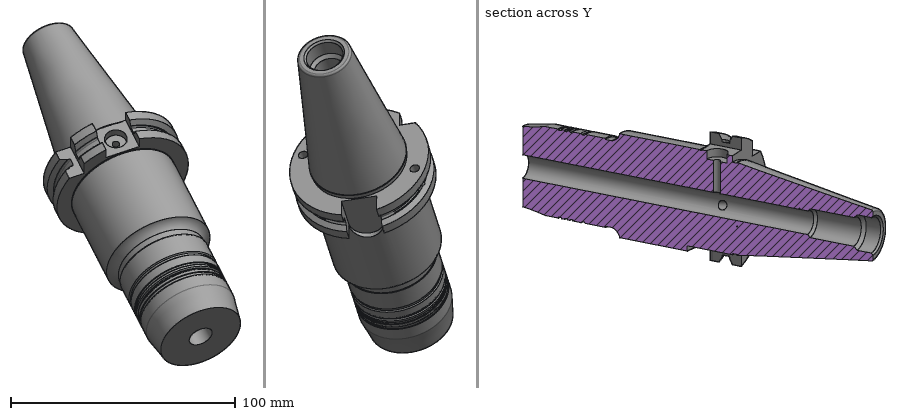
import cadquery as cq
import math

LENGTH = 178.4

TAPER_SLOPE = 3.5 / 24
GAUGE_RADIUS = 22.3
TAPER_END = 69.2
TAPER_EDGE_FILLET = 1.0
NECK_RADIUS = 22.0

FLANGE_START = 71.5
FLANGE_WIDTH = 15.9
FLANGE_RADIUS = 31.8
GROOVE_FLOOR_RADIUS = 28.2
GROOVE_FLOOR_WIDTH = 4.0
GROOVE_STRAIGHT_DEPTH = 1.0
GROOVE_FLOOR_FILLET = 0.5
GROOVE_HALF_ANGLE = math.radians(30)

BODY_RADIUS = 25.0
UNDERCUT_WIDTH = 0.5
UNDERCUT_DEPTH = 0.4
BODY_END = 129.0
STEP_SAG = 0.7
RELIEF_START = 132.7
RELIEF_END = 136.1
RELIEF_RADIUS = 20.9

NOSE_RADIUS = 21.4
RING_DEPTH = 0.5
NARROW_GROOVE = (146.5, 148.6)
RIDGED_GROOVE = (152.9, 157.0)
PLAIN_GROOVE = (158.6, 160.2)
RIDGE_BASE_WIDTH = 2.1
RIDGE_TOP_WIDTH = 1.0
NOSE_TAPER_START = 166.6
NOSE_TIP_RADIUS = 19.3

MOUTH_RADIUS = 9.3
COUNTERBORE_RADIUS = 8.4
COUNTERBORE_END = 8.2
THREAD_RADIUS = 6.8
THREAD_END = 32.1
BORE_RADIUS = 5.5

SLOT_WIDTH = 16.0
TOP_SLOT_FLOOR = 25.0
BOTTOM_SLOT_FLOOR = 22.5
BOTTOM_SLOT_END = 94.5
NOTCH_CORNER = 18.5
POCKET_RADIUS = 5.0
POCKET_DEPTH = 4.0
POCKET_DRILL_RADIUS = 1.6

COOLANT_RADIUS = 2.1
COOLANT_PITCH_RADIUS = 27.1
COOLANT_ANGLES = (20, 200)

FLANGE_END = FLANGE_START + FLANGE_WIDTH
FLANGE_MIDDLE = FLANGE_START + FLANGE_WIDTH / 2


def revolve_about_axis(outline):
    """Turn a closed outline of (X, radius) about the X axis."""
    return outline.close().revolve(360, (0, 0, 0), (1, 0, 0))


def ring(start, end, inner_radius, outer_radius):
    """Tube along the X axis."""
    tube = cq.Workplane("YZ", origin=(start, 0, 0)).circle(outer_radius).circle(inner_radius)
    return tube.extrude(end - start)


def box(start, end, y_range, z_range):
    """Block between the given limits along X, Y and Z."""
    size = (end - start, y_range[1] - y_range[0], z_range[1] - z_range[0])
    return cq.Workplane("XY").box(*size, centered=False).translate((start, y_range[0], z_range[0]))


def turned_blank():
    """Taper, neck, flange, body and nose without grooves."""
    small_radius = GAUGE_RADIUS - TAPER_SLOPE * TAPER_END
    outline = (
        cq.Workplane("XY")
        .moveTo(0, 0)
        .lineTo(0, small_radius)
        .lineTo(TAPER_END, GAUGE_RADIUS)
        .lineTo(TAPER_END, NECK_RADIUS)
        .lineTo(FLANGE_START, NECK_RADIUS)
        .lineTo(FLANGE_START, FLANGE_RADIUS)
        .lineTo(FLANGE_END, FLANGE_RADIUS)
        .lineTo(FLANGE_END, BODY_RADIUS - UNDERCUT_DEPTH)
        .lineTo(FLANGE_END + UNDERCUT_WIDTH, BODY_RADIUS - UNDERCUT_DEPTH)
        .lineTo(FLANGE_END + UNDERCUT_WIDTH, BODY_RADIUS)
        .lineTo(BODY_END, BODY_RADIUS)
        .sagittaArc((RELIEF_START, RELIEF_RADIUS), -STEP_SAG)
        .lineTo(RELIEF_END, RELIEF_RADIUS)
        .lineTo(RELIEF_END, NOSE_RADIUS)
        .lineTo(NOSE_TAPER_START, NOSE_RADIUS)
        .lineTo(LENGTH, NOSE_TIP_RADIUS)
        .lineTo(LENGTH, 0)
    )
    return revolve_about_axis(outline).faces("<X").edges().fillet(TAPER_EDGE_FILLET)


def flange_groove():
    """Vee groove with a straight-sided, round-cornered floor, around the middle of the flange."""
    vee_bottom_radius = GROOVE_FLOOR_RADIUS + GROOVE_STRAIGHT_DEPTH
    half_floor = GROOVE_FLOOR_WIDTH / 2
    half_mouth = half_floor + (FLANGE_RADIUS - vee_bottom_radius) * math.tan(GROOVE_HALF_ANGLE)
    outline = (
        cq.Workplane("XY")
        .moveTo(FLANGE_MIDDLE - half_floor, GROOVE_FLOOR_RADIUS)
        .lineTo(FLANGE_MIDDLE - half_floor, vee_bottom_radius)
        .lineTo(FLANGE_MIDDLE - half_mouth, FLANGE_RADIUS)
        .lineTo(FLANGE_MIDDLE + half_mouth, FLANGE_RADIUS)
        .lineTo(FLANGE_MIDDLE + half_floor, vee_bottom_radius)
        .lineTo(FLANGE_MIDDLE + half_floor, GROOVE_FLOOR_RADIUS)
    )
    groove = revolve_about_axis(outline)
    floor_edges = cq.selectors.RadiusNthSelector(0)
    return groove.edges(floor_edges).fillet(GROOVE_FLOOR_FILLET)


def trapezoid_ring(middle, inner_width, outer_width):
    """Ring as deep as the nose grooves, with sloping sides."""
    floor_radius = NOSE_RADIUS - RING_DEPTH
    outline = (
        cq.Workplane("XY")
        .moveTo(middle - inner_width / 2, floor_radius)
        .lineTo(middle - outer_width / 2, NOSE_RADIUS)
        .lineTo(middle + outer_width / 2, NOSE_RADIUS)
        .lineTo(middle + inner_width / 2, floor_radius)
    )
    return revolve_about_axis(outline)


def nose_grooves():
    """Narrow sloping groove, wide groove around a ridge, and plain groove."""
    floor_radius = NOSE_RADIUS - RING_DEPTH
    narrow_width = NARROW_GROOVE[1] - NARROW_GROOVE[0]
    narrow = trapezoid_ring(sum(NARROW_GROOVE) / 2, narrow_width - 2 * RING_DEPTH, narrow_width)
    ridge = trapezoid_ring(sum(RIDGED_GROOVE) / 2, RIDGE_BASE_WIDTH, RIDGE_TOP_WIDTH)
    ridged = ring(*RIDGED_GROOVE, floor_radius, NOSE_RADIUS).cut(ridge)
    plain = ring(*PLAIN_GROOVE, floor_radius, NOSE_RADIUS)
    return [narrow, ridged, plain]


def stepped_bore():
    """Counterbore, thread hole and through bore, joined by 45-degree cones."""
    outline = (
        cq.Workplane("XY")
        .moveTo(0, 0)
        .lineTo(0, MOUTH_RADIUS)
        .lineTo(MOUTH_RADIUS - COUNTERBORE_RADIUS, COUNTERBORE_RADIUS)
        .lineTo(COUNTERBORE_END, COUNTERBORE_RADIUS)
        .lineTo(COUNTERBORE_END + COUNTERBORE_RADIUS - THREAD_RADIUS, THREAD_RADIUS)
        .lineTo(THREAD_END, THREAD_RADIUS)
        .lineTo(THREAD_END + THREAD_RADIUS - BORE_RADIUS, BORE_RADIUS)
        .lineTo(LENGTH, BORE_RADIUS)
        .lineTo(LENGTH, 0)
    )
    return revolve_about_axis(outline)


def drive_slots():
    """Slot across the top of the flange and a deeper round-ended one below."""
    half_width = SLOT_WIDTH / 2
    slot_sides = (-half_width, half_width)
    top = box(FLANGE_START, FLANGE_END, slot_sides, (TOP_SLOT_FLOOR, FLANGE_RADIUS))
    end_centre = BOTTOM_SLOT_END - half_width
    bottom_range = (-FLANGE_RADIUS, -BOTTOM_SLOT_FLOOR)
    bottom = box(FLANGE_START, end_centre, slot_sides, bottom_range)
    round_end = (
        cq.Workplane("XY", origin=(end_centre, 0, -FLANGE_RADIUS))
        .circle(half_width)
        .extrude(FLANGE_RADIUS - BOTTOM_SLOT_FLOOR)
    )
    return [top, bottom, round_end]


def orientation_notch():
    """Square corner cut from the flange between -Y and +Z."""
    return box(
        FLANGE_START,
        FLANGE_END,
        (-FLANGE_RADIUS, -NOTCH_CORNER),
        (NOTCH_CORNER, FLANGE_RADIUS),
    )


def chip_pocket():
    """Round pocket in the top slot with a small drilling down to the bore."""
    slot_floor = cq.Workplane("XY", origin=(FLANGE_MIDDLE, 0, TOP_SLOT_FLOOR))
    pocket = slot_floor.circle(POCKET_RADIUS).extrude(-POCKET_DEPTH)
    drilling = slot_floor.circle(POCKET_DRILL_RADIUS).extrude(-TOP_SLOT_FLOOR)
    return [pocket, drilling]


def coolant_passage(angle):
    """Hole from the flange face that meets a radial hole from groove to bore."""
    axial = (
        cq.Workplane("YZ", origin=(FLANGE_START, 0, 0))
        .center(COOLANT_PITCH_RADIUS, 0)
        .circle(COOLANT_RADIUS)
        .extrude(FLANGE_MIDDLE - FLANGE_START)
    )
    radial = (
        cq.Workplane("XZ", origin=(FLANGE_MIDDLE, 0, 0))
        .circle(COOLANT_RADIUS)
        .extrude(-FLANGE_RADIUS)
    )
    return axial.union(radial).rotate((0, 0, 0), (1, 0, 0), angle)


cutters = [flange_groove(), stepped_bore(), orientation_notch()]
cutters += nose_grooves() + drive_slots() + chip_pocket()
cutters += [coolant_passage(angle) for angle in COOLANT_ANGLES]

result = turned_blank()
for cutter in cutters:
    result = result.cut(cutter)